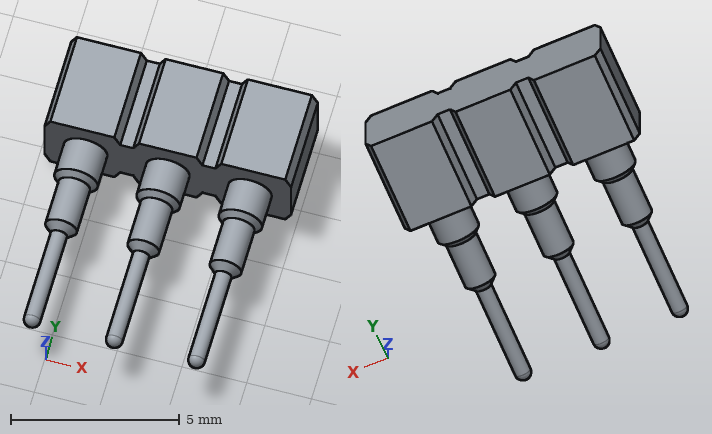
import cadquery as cq
import math


pin_count = 3
pitch = 2.54
bar_height = pitch
bar_depth = 2.95
bar_length = pin_count * pitch
half_length = bar_length / 2
half_height = bar_height / 2

bevel_height = 0.39
bevel_width = 0.18
groove_floor = 0.4

overall_depth = 9.1
pin_reach = overall_depth - bar_depth
collar_diameter = 1.35
collar_radius = collar_diameter / 2
barrel_diameter = 0.98
barrel_radius = barrel_diameter / 2
tail_diameter = 0.51
tail_radius = tail_diameter / 2
collar_length = 1.065
collar_taper = collar_radius - barrel_radius
barrel_end = 2.71
barrel_taper = barrel_radius - tail_radius


def make_bar():
    """Insulator bar with bevelled long corners, extruded from Y = 0 to +Y."""
    shoulder = half_height - bevel_height
    outline = [
        (-half_length, -shoulder),
        (-half_length, shoulder),
        (-half_length + bevel_width, half_height),
        (half_length - bevel_width, half_height),
        (half_length, shoulder),
        (half_length, -shoulder),
        (half_length - bevel_width, -half_height),
        (-half_length + bevel_width, -half_height),
    ]
    return cq.Workplane("XZ").polyline(outline).close().extrude(-bar_depth)


def make_groove(x, side):
    """Trapezoidal cutter running along Y; side is +1 for the top face and -1 for the bottom."""
    half_floor = groove_floor / 2
    half_mouth = half_floor + bevel_width
    face = side * half_height
    floor = side * (half_height - bevel_height)
    outline = [
        (x - half_mouth, face),
        (x - half_floor, floor),
        (x + half_floor, floor),
        (x + half_mouth, face),
    ]
    return cq.Workplane("XZ").polyline(outline).close().extrude(-bar_depth)


def make_pin():
    """Stepped pin on the Y axis with 45 degree tapers and a hemispherical tip."""
    tip_start = pin_reach - tail_radius
    arc_offset = tail_radius * math.sqrt(0.5)
    profile = (
        cq.Workplane("XY")
        .lineTo(collar_radius, 0)
        .lineTo(collar_radius, -collar_length)
        .lineTo(barrel_radius, -collar_length - collar_taper)
        .lineTo(barrel_radius, -barrel_end)
        .lineTo(tail_radius, -barrel_end - barrel_taper)
        .lineTo(tail_radius, -tip_start)
        .threePointArc((arc_offset, -tip_start - arc_offset), (0, -pin_reach))
        .close()
    )
    return profile.revolve(360, (0, 0, 0), (0, 1, 0))


result = make_bar()

for index in range(pin_count - 1):
    groove_x = -half_length + (index + 1) * pitch
    for side in (1, -1):
        result = result.cut(make_groove(groove_x, side))

for index in range(pin_count):
    pin_x = -half_length + (index + 0.5) * pitch
    result = result.union(make_pin().translate((pin_x, 0, 0)))